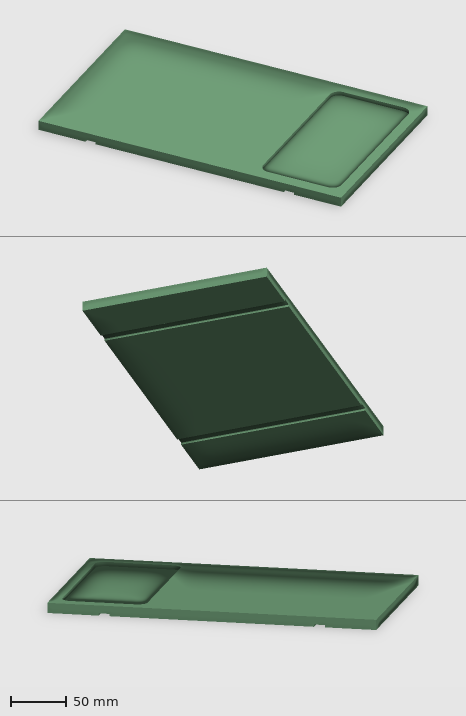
import cadquery as cq

length = 304.8
width = 177.7
thickness = 9.5

pocket_length = 79.0
pocket_width = 154.8
pocket_depth = 4.0
pocket_corner_radius = 9.0
pocket_end_margin = 9.5

groove_width = 10.0
groove_depth = 2.0
groove_end_margin = 47.5


def make_plate():
    """Plate centred on X and Y, standing on Z = 0."""
    return cq.Workplane("XY").box(length, width, thickness, centered=(True, True, False))


def make_pocket():
    """Rounded rectangular cutter reaching down from the top face."""
    center_x = length / 2 - pocket_end_margin - pocket_length / 2
    return (
        cq.Workplane("XY", origin=(center_x, 0, thickness - pocket_depth))
        .rect(pocket_length, pocket_width)
        .extrude(pocket_depth)
        .edges("|Z")
        .fillet(pocket_corner_radius)
    )


def make_grooves():
    """Two mirrored cutters running the full width of the underside."""
    offset = length / 2 - groove_end_margin - groove_width / 2
    return (
        cq.Workplane("XY")
        .pushPoints([(-offset, 0), (offset, 0)])
        .rect(groove_width, width)
        .extrude(groove_depth)
    )


result = make_plate().cut(make_pocket()).cut(make_grooves())